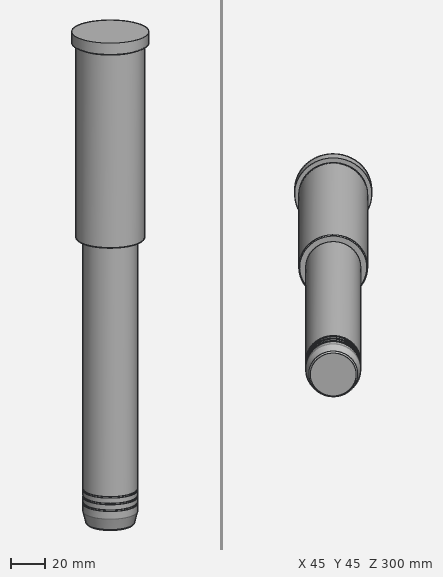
import cadquery as cq

total_length = 300.0
head_diameter = 45.0
head_height = 7.0
sleeve_diameter = 40.2
sleeve_bottom = 174.0
sleeve_chamfer = 0.5
stem_diameter = 32.0

undercut_width = 1.2
undercut_depth = 0.5

nose_height = 7.8
tip_diameter = 28.5
tip_chamfer = 1.0

groove_width = 1.0
groove_depth = 0.3
groove_count = 3
lowest_groove = 13.0
highest_groove = 21.0
groove_pitch = (highest_groove - lowest_groove) / (groove_count - 1)

head_radius = head_diameter / 2
sleeve_radius = sleeve_diameter / 2
stem_radius = stem_diameter / 2
tip_radius = tip_diameter / 2
head_bottom = total_length - head_height


def make_body():
    """Revolve the stepped outline, drawn as radius against height."""
    outline = (
        cq.Workplane("XZ")
        .lineTo(tip_radius - tip_chamfer, 0)
        .lineTo(tip_radius, tip_chamfer)
        .lineTo(stem_radius, nose_height)
        .lineTo(stem_radius, sleeve_bottom)
        .lineTo(sleeve_radius - sleeve_chamfer, sleeve_bottom)
        .lineTo(sleeve_radius, sleeve_bottom + sleeve_chamfer)
        .lineTo(sleeve_radius, head_bottom)
        .lineTo(head_radius, head_bottom)
        .lineTo(head_radius, total_length)
        .lineTo(0, total_length)
        .close()
    )
    return outline.revolve(360, (0, 0, 0), (0, 1, 0))


def groove_ring(shaft_radius, depth, bottom, width):
    """Ring that cuts a square groove into a shaft of the given radius."""
    return (
        cq.Workplane("XY", origin=(0, 0, bottom))
        .circle(shaft_radius + depth)
        .circle(shaft_radius - depth)
        .extrude(width)
    )


result = make_body()
result = result.cut(
    groove_ring(sleeve_radius, undercut_depth, head_bottom - undercut_width, undercut_width)
)
for index in range(groove_count):
    centre = lowest_groove + index * groove_pitch
    result = result.cut(
        groove_ring(stem_radius, groove_depth, centre - groove_width / 2, groove_width)
    )